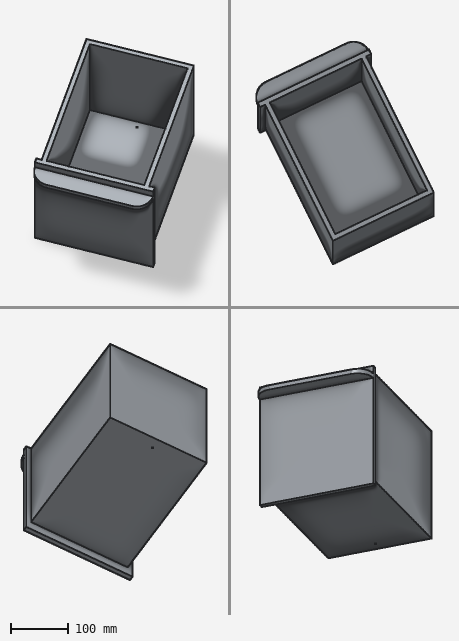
import cadquery as cq

total_length = 310.0
panel_width = 217.0
panel_height = 230.0
board = 9.0
handle_depth = 30.0
handle_drop = 15.0
side_overhang = 10.0
bottom_overhang = 20.0
hole_diameter = 2.5
hole_from_back = 20.0

back_y = total_length - handle_depth
box_width = panel_width - 2 * side_overhang
box_length = back_y - board
cavity_width = box_width - 2 * board
cavity_length = box_length - board
floor_top = bottom_overhang + board


def block(width, y_min, length, z_min, height):
    """Box centred on X = 0, starting at y_min and z_min."""
    solid = cq.Workplane("XY").box(width, length, height, centered=(True, False, False))
    return solid.translate((0, y_min, z_min))


def make_box():
    """Open-topped box; the front panel closes its front end."""
    outer = block(box_width, board, box_length, bottom_overhang, panel_height - bottom_overhang)
    cavity = block(cavity_width, board, cavity_length, floor_top, panel_height - floor_top)
    return outer.cut(cavity)


def make_handle():
    """Ledge whose front corners are quarter circles spanning its full depth."""
    half_width = panel_width / 2
    straight_half = half_width - handle_depth
    half_chord = handle_depth * 0.5 ** 0.5
    return (
        cq.Workplane("XY")
        .workplane(offset=panel_height - handle_drop - board)
        .moveTo(-half_width, 0)
        .threePointArc((-straight_half - half_chord, -half_chord), (-straight_half, -handle_depth))
        .lineTo(straight_half, -handle_depth)
        .threePointArc((straight_half + half_chord, -half_chord), (half_width, 0))
        .close()
        .extrude(board)
    )


def make_floor_hole():
    """Cutter for the small hole through the floor near the back wall."""
    return (
        cq.Workplane("XY")
        .workplane(offset=bottom_overhang)
        .center(0, back_y - hole_from_back)
        .circle(hole_diameter / 2)
        .extrude(board)
    )


front_panel = block(panel_width, 0, board, 0, panel_height)
result = make_box().union(front_panel).union(make_handle()).cut(make_floor_hole())